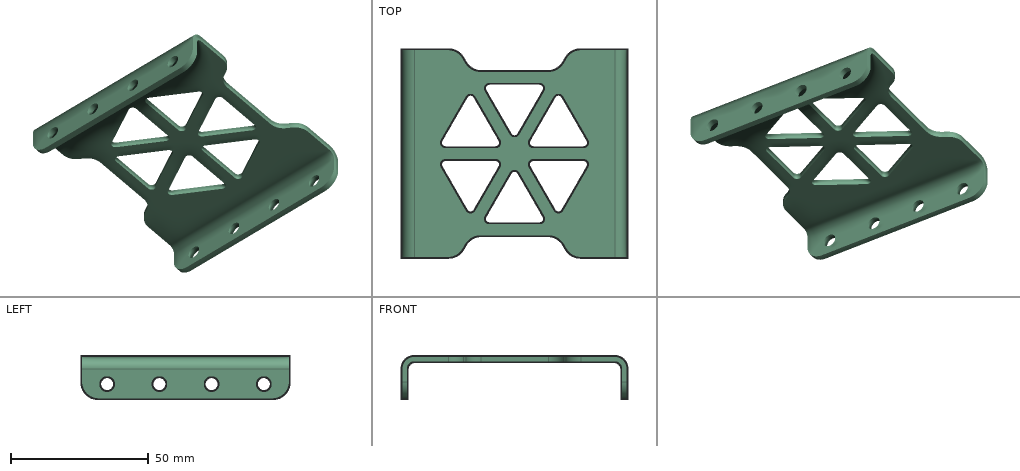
import cadquery as cq
import math

LENGTH_X = 82.55
WIDTH_Y = 76.2
HEIGHT_Z = 15.875

THICKNESS = 2.38
BEND_INNER_RADIUS = 2.38
BEND_OUTER_RADIUS = BEND_INNER_RADIUS + THICKNESS

HOLE_DIAMETER = 4.98
HOLE_COUNT = 4
HOLE_PITCH = WIDTH_Y / HOLE_COUNT
HOLE_HEIGHT = 5.56
FLANGE_CORNER_RADIUS = 6.35

HEXAGON_APOTHEM = 25.4
STRUT_WIDTH = 4.76
WINDOW_COUNT = 6
WINDOW_CORNER_RADIUS = 1.5875

NOTCH_FLOOR_Y = HEXAGON_APOTHEM + STRUT_WIDTH
NOTCH_SIDE_ANGLE = 60.0
NOTCH_MID_HALF_LENGTH = 18.2
NOTCH_CORNER_RADIUS = 6.35


def make_channel():
    """Bent channel with its web on top and its flanges pointing down."""
    outer = (
        cq.Workplane("XY")
        .box(LENGTH_X, WIDTH_Y, HEIGHT_Z, centered=(True, True, False))
        .edges("|Y and >Z")
        .fillet(BEND_OUTER_RADIUS)
    )
    inner = (
        cq.Workplane("XY")
        .box(LENGTH_X - 2 * THICKNESS, WIDTH_Y, HEIGHT_Z - THICKNESS, centered=(True, True, False))
        .edges("|Y and >Z")
        .fillet(BEND_INNER_RADIUS)
    )
    return outer.cut(inner)


def round_flange_corners(body):
    """Round the lower corners of both flanges."""
    return body.edges("|X and <Z").edges("<Y or >Y").fillet(FLANGE_CORNER_RADIUS)


def make_flange_holes():
    """Row of cylinders that pierce both flanges along X."""
    return (
        cq.Workplane("YZ", origin=(0, 0, HOLE_HEIGHT))
        .rarray(HOLE_PITCH, 1, HOLE_COUNT, 1)
        .circle(HOLE_DIAMETER / 2)
        .extrude(LENGTH_X, both=True)
    )


def make_windows():
    """Ring of rounded triangular prisms, each pointing at the web centre."""
    tip_y = STRUT_WIDTH
    half_base = (HEXAGON_APOTHEM - tip_y) * math.tan(math.pi / WINDOW_COUNT)
    window = (
        cq.Workplane("XY", origin=(0, 0, HEIGHT_Z - THICKNESS))
        .moveTo(0, tip_y)
        .lineTo(half_base, HEXAGON_APOTHEM)
        .lineTo(-half_base, HEXAGON_APOTHEM)
        .close()
        .extrude(THICKNESS)
        .edges("|Z")
        .fillet(WINDOW_CORNER_RADIUS)
    )
    windows = cq.Workplane("XY")
    for index in range(WINDOW_COUNT):
        windows = windows.add(window.rotate((0, 0, 0), (0, 0, 1), index * 360 / WINDOW_COUNT))
    return windows.combine()


def make_notch():
    """Notch at the +Y edge: concave floor corners and convex mouth corners."""
    edge_y = WIDTH_Y / 2
    depth = edge_y - NOTCH_FLOOR_Y
    angle = math.radians(NOTCH_SIDE_ANGLE)
    side_half_run = depth / 2 / math.tan(angle)
    floor_x = NOTCH_MID_HALF_LENGTH - side_half_run
    mouth_x = NOTCH_MID_HALF_LENGTH + side_half_run

    tangent = NOTCH_CORNER_RADIUS * math.tan(angle / 2)
    slant_x = tangent * math.cos(angle)
    slant_y = tangent * math.sin(angle)
    return (
        cq.Workplane("XY", origin=(0, 0, HEIGHT_Z - THICKNESS))
        .moveTo(floor_x - tangent, NOTCH_FLOOR_Y)
        .radiusArc((floor_x + slant_x, NOTCH_FLOOR_Y + slant_y), -NOTCH_CORNER_RADIUS)
        .lineTo(mouth_x - slant_x, edge_y - slant_y)
        .radiusArc((mouth_x + tangent, edge_y), NOTCH_CORNER_RADIUS)
        .lineTo(-mouth_x - tangent, edge_y)
        .radiusArc((-mouth_x + slant_x, edge_y - slant_y), NOTCH_CORNER_RADIUS)
        .lineTo(-floor_x - slant_x, NOTCH_FLOOR_Y + slant_y)
        .radiusArc((-floor_x + tangent, NOTCH_FLOOR_Y), -NOTCH_CORNER_RADIUS)
        .close()
        .extrude(THICKNESS)
    )


notch = make_notch()
bracket = round_flange_corners(make_channel())
bracket = bracket.cut(make_flange_holes())
bracket = bracket.cut(make_windows())
bracket = bracket.cut(notch).cut(notch.mirror("XZ"))

result = bracket.translate((0, 0, -HEIGHT_Z / 2))